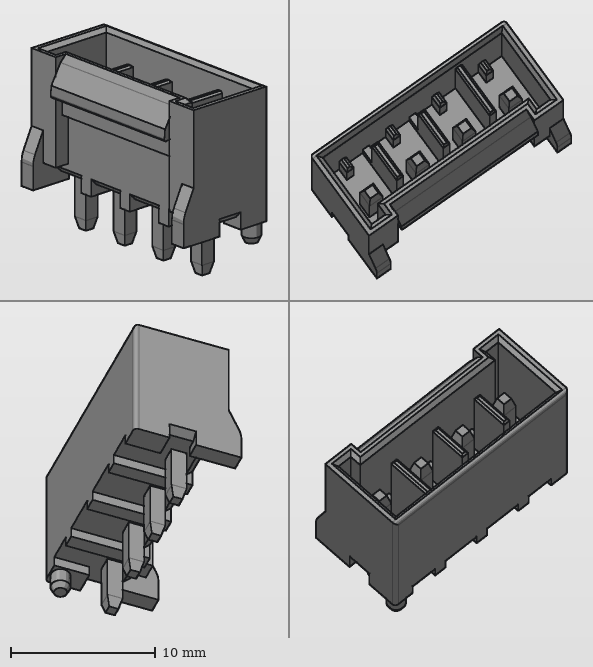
import cadquery as cq
import math


PIN_COUNT = 4
PITCH = 3.96
PIN_SIZE = 1.14
PIN_BOTTOM = -3.5
PIN_TOP = 7.0
PIN_TIP_LENGTH = 0.9
PIN_TIP_INSET = 0.22

WIDTH = 16.58
HEIGHT = 10.0
BACK_Y = 4.05
FRONT_Y = -3.0
BACK_ROUND = 0.3
FLOOR_TOP = 2.5
WALL_FACE_Y = -1.83
RECESS_WIDTH = 11.63
COLUMN_BOTTOM = 1.8

CAVITY_WIDTH = 15.24
CAVITY_BACK_Y = 3.43
CAVITY_FRONT_Y = -2.38
CAVITY_STEP_Y = -1.44
CAVITY_STEP_WIDTH = 12.88
RIM_CHAMFER = 0.32

LATCH_BAND_Y = -2.4
LATCH_BAND_BOTTOM = 5.57
LATCH_RIM_Y = -2.04
LATCH_LEAD_IN = 0.5
LATCH_BREAK_Y = -3.41
LATCH_BREAK_Z = 8.0
LATCH_NOSE_Y = -3.48
LATCH_NOSE_TOP = 7.3
LATCH_NOSE_BOTTOM = 7.2
LATCH_NOSE_BEVEL = 0.11
LATCH_UNDERCUT_Z = 7.2

FOOT_WIDTH = 1.19
FOOT_FRONT_Y = -3.95
FOOT_TOP = 4.22
FOOT_ROUND = 1.9
FOOT_CORNER_Z = 2.23

UNDERSIDE_Z = 0.79
OPENING_Z = 1.3
SPACER_WIDTH = 1.0
LEG_INNER_X = 6.59
SIDE_SLOT_FRONT_Y = -0.55
SIDE_SLOT_BACK_Y = 1.43

RIB_WIDTH = 0.56
RIB_TOP = 8.63
RIB_FRONT_Y = -0.65
RIB_BACK_Y = 2.36
RIB_CHAMFER = 0.15
LOW_RIB_TOP = 3.5
KEY_WIDTH = 0.6
KEY_DEPTH = 0.93
KEY_TOP = 5.0
KEY_CHAMFER = 0.2

PEG_X = 7.43
PEG_Y = 3.25
PEG_RADIUS = 0.7
PEG_LENGTH = 1.57
PEG_TIP_LENGTH = 0.5
PEG_TIP_INSET = 0.24

HALF_WIDTH = WIDTH / 2
HALF_RECESS = RECESS_WIDTH / 2
FOOT_INNER_X = HALF_WIDTH - FOOT_WIDTH
PIN_XS = [(i - (PIN_COUNT - 1) / 2) * PITCH for i in range(PIN_COUNT)]
DIVIDER_XS = [x + PITCH / 2 for x in PIN_XS[:-1]]


def block(x0, x1, y0, y1, z0, z1):
    """Box between two opposite corners."""
    return cq.Workplane("XY").box(x1 - x0, y1 - y0, z1 - z0, centered=False).translate((x0, y0, z0))


def yz_prism(points, x0, x1):
    """Prism with a (Y, Z) outline running from x0 to x1."""
    return cq.Workplane("YZ").workplane(offset=x0).polyline(points).close().extrude(x1 - x0)


def make_shell():
    """Outer block with a rounded back, a recessed front wall and undercut front columns."""
    shell = block(-HALF_WIDTH, HALF_WIDTH, FRONT_Y, BACK_Y, 0, HEIGHT)
    shell = shell.edges("(>Y and |Z) or (>Y and >Z)").fillet(BACK_ROUND)
    recess = block(-HALF_RECESS, HALF_RECESS, FRONT_Y, WALL_FACE_Y, COLUMN_BOTTOM, HEIGHT)
    undercut = block(-FOOT_INNER_X, FOOT_INNER_X, FRONT_Y, WALL_FACE_Y, 0, COLUMN_BOTTOM)
    return shell.cut(recess).cut(undercut)


def make_latch():
    """Hooked ledge that fills the upper part of the front recess."""
    outline = [
        (CAVITY_STEP_Y, HEIGHT),
        (LATCH_RIM_Y, HEIGHT),
        (LATCH_RIM_Y - LATCH_LEAD_IN, HEIGHT - LATCH_LEAD_IN),
        (LATCH_BREAK_Y, LATCH_BREAK_Z),
        (LATCH_NOSE_Y, LATCH_NOSE_TOP),
        (LATCH_NOSE_Y, LATCH_NOSE_BOTTOM),
        (LATCH_NOSE_Y + LATCH_NOSE_BEVEL, LATCH_NOSE_BOTTOM - LATCH_NOSE_BEVEL),
        (LATCH_BAND_Y, LATCH_UNDERCUT_Z),
        (LATCH_BAND_Y, LATCH_BAND_BOTTOM),
        (CAVITY_STEP_Y, LATCH_BAND_BOTTOM),
    ]
    return yz_prism(outline, -HALF_RECESS, HALF_RECESS)


def make_foot(x0):
    """Front foot with a sloped top that rounds into its front face."""
    outline = [(FRONT_Y, 0), (FOOT_FRONT_Y, 0), (FOOT_FRONT_Y, FOOT_CORNER_Z), (FRONT_Y, FOOT_TOP)]
    foot = yz_prism(outline, x0, x0 + FOOT_WIDTH)
    corner = cq.selectors.NearestToPointSelector((x0 + FOOT_WIDTH / 2, FOOT_FRONT_Y, FOOT_CORNER_Z))
    return foot.edges(corner).fillet(FOOT_ROUND)


def cavity_outline(z, flare):
    """Cavity outline at height z with every wall moved outward by flare."""
    half_cavity = CAVITY_WIDTH / 2 + flare
    half_step = CAVITY_STEP_WIDTH / 2 - flare
    back_y = CAVITY_BACK_Y + flare
    front_y = CAVITY_FRONT_Y - flare
    step_y = CAVITY_STEP_Y - flare
    points = [
        (-half_cavity, back_y),
        (-half_cavity, front_y),
        (-half_step, front_y),
        (-half_step, step_y),
        (half_step, step_y),
        (half_step, front_y),
        (half_cavity, front_y),
        (half_cavity, back_y),
    ]
    return cq.Wire.makePolygon([cq.Vector(x, y, z) for x, y in points], close=True)


def make_cavity():
    """Mating cavity, narrowed by the front wall and flared at the rim."""
    flare_z = HEIGHT - RIM_CHAMFER
    floor = cavity_outline(FLOOR_TOP, 0)
    flare_start = cavity_outline(flare_z, 0)
    rim = cavity_outline(HEIGHT, RIM_CHAMFER)
    straight = cq.Solid.makeLoft([floor, flare_start], True)
    flared = cq.Solid.makeLoft([flare_start, rim], True)
    return cq.Workplane(straight).union(cq.Workplane(flared))


def underside_channel(x0, x1, back_y):
    """Channel below the floor whose ceiling rises toward the front opening."""
    rise = OPENING_Z - UNDERSIDE_Z
    outline = [
        (WALL_FACE_Y, 0),
        (WALL_FACE_Y, OPENING_Z),
        (WALL_FACE_Y + rise, UNDERSIDE_Z),
        (back_y, UNDERSIDE_Z),
        (back_y, 0),
    ]
    return yz_prism(outline, x0, x1)


def make_side_slot():
    """Cross slot through both side walls, its ceiling rising toward each outer face."""
    rise = OPENING_Z - UNDERSIDE_Z
    outline = [
        (-HALF_WIDTH, 0),
        (-HALF_WIDTH, OPENING_Z),
        (-HALF_WIDTH + rise, UNDERSIDE_Z),
        (HALF_WIDTH - rise, UNDERSIDE_Z),
        (HALF_WIDTH, OPENING_Z),
        (HALF_WIDTH, 0),
    ]
    slot_length = SIDE_SLOT_BACK_Y - SIDE_SLOT_FRONT_Y
    slot = cq.Workplane("XZ").polyline(outline).close().extrude(-slot_length)
    inner_x = DIVIDER_XS[-1] + SPACER_WIDTH / 2
    middle = block(-inner_x, inner_x, 0, slot_length, 0, OPENING_Z)
    return slot.cut(middle).translate((0, SIDE_SLOT_FRONT_Y, 0))


def make_underside():
    """Channels between the spacers, widened at the front corners, plus the side slots."""
    edges = [-LEG_INNER_X]
    for x in DIVIDER_XS:
        edges += [x - SPACER_WIDTH / 2, x + SPACER_WIDTH / 2]
    edges.append(LEG_INNER_X)
    relief = make_side_slot()
    for x0, x1 in zip(edges[::2], edges[1::2]):
        relief = relief.union(underside_channel(x0, x1, BACK_Y))
    for x0, x1 in [(-FOOT_INNER_X, -LEG_INNER_X), (LEG_INNER_X, FOOT_INNER_X)]:
        relief = relief.union(underside_channel(x0, x1, SIDE_SLOT_FRONT_Y))
    return relief


def make_divider(x, back_y):
    """Tall chamfered rib standing on a low rib that spans the cavity."""
    half = RIB_WIDTH / 2
    low = block(x - half, x + half, CAVITY_STEP_Y, CAVITY_BACK_Y, FLOOR_TOP, LOW_RIB_TOP)
    tall = block(x - half, x + half, RIB_FRONT_Y, back_y, FLOOR_TOP, RIB_TOP)
    top_edges = ">Z" if back_y < CAVITY_BACK_Y else "(>Z and |Y) or (>Z and <Y)"
    tall = tall.faces(">Z").edges(top_edges).chamfer(RIB_CHAMFER)
    return low.union(tall)


def make_key(x):
    """Short chamfered rib on the back wall behind a pin."""
    front_y = CAVITY_BACK_Y - KEY_DEPTH
    half = KEY_WIDTH / 2
    key = block(x - half, x + half, front_y, CAVITY_BACK_Y, FLOOR_TOP, KEY_TOP)
    return key.faces(">Z").edges("|Y or <Y").chamfer(KEY_CHAMFER)


def make_pin(x):
    """Square contact with a tapered tip at both ends."""
    taper = math.degrees(math.atan2(PIN_TIP_INSET, PIN_TIP_LENGTH))
    shank_bottom = PIN_BOTTOM + PIN_TIP_LENGTH
    shank_top = PIN_TOP - PIN_TIP_LENGTH
    pin = cq.Workplane("XY").rect(PIN_SIZE, PIN_SIZE).extrude(shank_top - shank_bottom)
    pin = pin.faces(">Z").workplane().rect(PIN_SIZE, PIN_SIZE).extrude(PIN_TIP_LENGTH, taper=taper)
    pin = pin.faces("<Z").workplane().rect(PIN_SIZE, PIN_SIZE).extrude(PIN_TIP_LENGTH, taper=taper)
    return pin.translate((x, 0, shank_bottom))


def make_peg():
    """Round locating peg with a conical tip, under the +X back corner."""
    peg = cq.Workplane("XY").center(PEG_X, PEG_Y).circle(PEG_RADIUS).extrude(-PEG_LENGTH)
    return peg.faces("<Z").chamfer(PEG_TIP_LENGTH, PEG_TIP_INSET)


housing = make_shell().union(make_latch())
for foot_x in (-HALF_WIDTH, FOOT_INNER_X):
    housing = housing.union(make_foot(foot_x))
housing = housing.cut(make_cavity()).cut(make_underside())

for divider_x in DIVIDER_XS:
    rib_back_y = CAVITY_BACK_Y if divider_x == DIVIDER_XS[-1] else RIB_BACK_Y
    housing = housing.union(make_divider(divider_x, rib_back_y))

for pin_x in PIN_XS:
    housing = housing.union(make_key(pin_x)).union(make_pin(pin_x))

result = housing.union(make_peg())